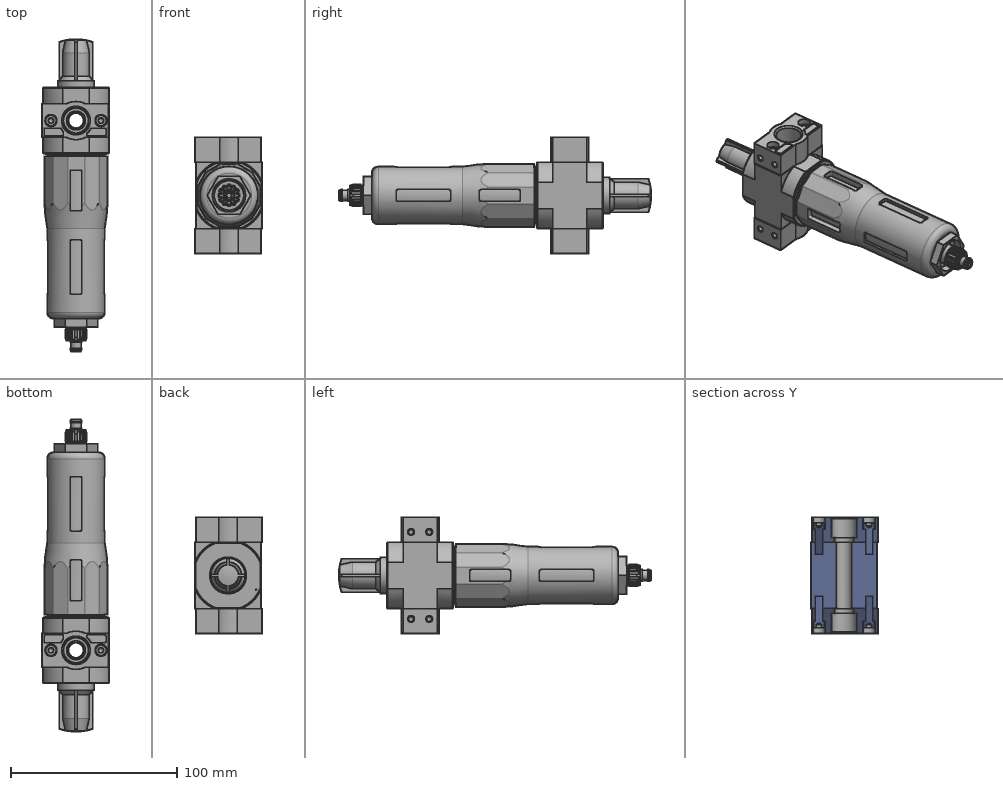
import cadquery as cq
import math

HOUSING_HALF = 20.0
HOUSING_RADIUS = 21.5
HOUSING_CHAMFER = 0.5
BAND_HALF_WIDTH = 10.2
BORE_DIAMETER = 9.0

PLATE_THICKNESS = 15.0
PLATE_X_SHIFT = -0.5
BULGE_HALF_WIDTH = 5.6
BULGE_HALF_HEIGHT = 11.5
PLATE_TOP = HOUSING_HALF + PLATE_THICKNESS
PORT_DIAMETER = 15.0
PORT_RIM_DIAMETER = 17.1
PORT_DEPTH = 12.2
PORT_STEP_DIAMETER = 11.3

LABEL_INNER_X = 7.0
LABEL_OUTER_X = 18.6
LABEL_NEAR_Y = -4.5
LABEL_FAR_Y = -9.2
LABEL_PORT_CLEARANCE = 10.2
LABEL_CORNER = 0.8
LABEL_DEPTH = 0.4

SIDE_HOLE_DIAMETER = 3.2
SIDE_HOLE_RIM = 4.0
SIDE_HOLE_DEPTH = 3.8
SIDE_HOLE_Y = 5.5
SIDE_HOLE_Z = 26.1

SCREW_X = 15.0
COUNTERBORE_DIAMETER = 7.1
COUNTERBORE_DEPTH = 7.1
HEAD_DIAMETER = 6.4
HEAD_HEIGHT = 3.8
SHANK_DIAMETER = 4.0
SHANK_LENGTH = 15.0
SOCKET_DIAMETER = 3.2
SOCKET_DEPTH = 1.9

KNOB_TOP = 49.0
COLLAR_DIAMETER = 22.0
COLLAR_RADIUS = COLLAR_DIAMETER / 2
COLLAR_TOP = 23.9
FLARE_RADIUS = 10.3
FLARE_TOP = 26.7
GRIP_RADIUS = 8.0
GRIP_TOP = 40.8
TIP_RADIUS = 6.2
FIN_RADIUS = 10.2
FIN_THICKNESS = 1.5
FIN_COUNT = 4
DOME_DROP = 1.9

NECK_RADIUS = 17.0
NECK_RIM_RADIUS = 18.6
NECK_TOP = -20.5
GUARD_TOP = -21.5
FACET_COUNT = 12
FACET_DISTANCE = 19.0
FACET_WIDTH = 9.8
GUARD_RADIUS = math.hypot(FACET_DISTANCE, FACET_WIDTH / 2)
CONE_TOP = -49.3
CONE_BOTTOM = -64.7
BOWL_DIAMETER = 34.8
BOWL_RADIUS = BOWL_DIAMETER / 2
BOWL_BOTTOM = -119.0
BOWL_FILLET = 4.0

SLOT_COUNT = 4
SLOT_WIDTH = 7.1
SLOT_CORNER = 1.1
SLOT_FLOOR_RADIUS = 15.6
SLOT_SPANS = [(-29.7, -54.3), (-71.6, -104.3)]

HEX_ACROSS_FLATS = 22.7
HEX_HEIGHT = 5.0
HEX_SIDES = 6
HEX_TURN = 180 / HEX_SIDES
HEX_BOTTOM = BOWL_BOTTOM - HEX_HEIGHT
RECESS_RIM_RADIUS = 10.0
RECESS_FLOOR_RADIUS = 8.8
RECESS_DEPTH = 3.8
SEAT_DEPTH = 2.8

DRAIN_BOTTOM = -139.0
STEM_DIAMETER = 12.2
STEM_BOTTOM = -124.6
DRAIN_NECK_DIAMETER = 11.0
CORE_RADIUS = 5.6
CORE_BEVEL = 1.0
DRAIN_SEAT = HEX_BOTTOM + RECESS_DEPTH + SEAT_DEPTH
TOOTH_TOP = -125.5
TOOTH_TAPER_START = -130.1
TOOTH_BOTTOM = -132.4
TOOTH_RADIUS = 6.5
TOOTH_TIP_RADIUS = 5.8
TOOTH_WIDTH = 1.3
TOOTH_COUNT = 12
NIPPLE_COLLAR_RADIUS = 3.5
NIPPLE_COLLAR_BOTTOM = -133.3
NIPPLE_RADIUS = 3.2
BARB_RADIUS = 3.5
BARB_TOP = -136.7
BARB_EDGE = -137.2
TIP_CHAMFER = 0.5
NIPPLE_BORE_DIAMETER = 3.0
NIPPLE_BORE_DEPTH = 5.6

DRILL_POINT_ANGLE = 118.0
Y_AXIS = ((0, 0, 0), (0, 1, 0))


def turned(points):
    """Solid of revolution about the Y axis from (radius, y) points."""
    return cq.Workplane("XY").polyline(points).close().revolve(360, (0, 0), (0, 1))


def along_y(y_start):
    """Workplane square to Y, whose extrusions grow towards -Y."""
    return cq.Workplane("XZ", origin=(0, y_start, 0))


def drill(diameter, depth):
    """Drilled hole with a pointed bottom, going down from the origin."""
    radius = diameter / 2
    point = radius / math.tan(math.radians(DRILL_POINT_ANGLE / 2))
    outline = [(0, 0), (radius, 0), (radius, -depth), (0, -depth - point)]
    return cq.Workplane("XZ").polyline(outline).close().revolve(360, (0, 0), (0, 1))


def countersink(rim_diameter, hole_diameter):
    """45-degree countersink that narrows from the rim to the hole, going down from the origin."""
    depth = (rim_diameter - hole_diameter) / 2
    down = cq.Vector(0, 0, -1)
    return cq.Workplane("XY").add(cq.Solid.makeCone(rim_diameter / 2, hole_diameter / 2, depth, dir=down))


def make_housing():
    size = 2 * HOUSING_HALF
    barrel = (
        along_y(HOUSING_HALF)
        .circle(HOUSING_RADIUS)
        .extrude(size)
        .intersect(cq.Workplane("XY").box(size, size, size))
        .faces("<Y or >Y")
        .chamfer(HOUSING_CHAMFER)
    )
    band = cq.Workplane("XY").box(size, 2 * BAND_HALF_WIDTH, size)
    bore = cq.Workplane("XY").circle(BORE_DIAMETER / 2).extrude(HOUSING_HALF, both=True)
    housing = barrel.union(band).cut(bore)
    for screw in make_screws():
        housing = housing.cut(screw)
    return housing


def label_recess(side):
    """Shallow label field on one side of the port; side is -1 or 1."""
    width = LABEL_OUTER_X - LABEL_INNER_X
    height = LABEL_NEAR_Y - LABEL_FAR_Y
    center_x = PLATE_X_SHIFT + side * (LABEL_OUTER_X + LABEL_INNER_X) / 2
    center_y = (LABEL_NEAR_Y + LABEL_FAR_Y) / 2
    floor = cq.Workplane("XY", origin=(0, 0, PLATE_TOP - LABEL_DEPTH))
    field = floor.center(center_x, center_y).rect(width, height).extrude(LABEL_DEPTH)
    field = field.edges("|Z").fillet(LABEL_CORNER)
    return field.cut(floor.circle(LABEL_PORT_CLEARANCE).extrude(LABEL_DEPTH))


def side_hole(y):
    """Blind threaded hole in the -X side of the plate, with a countersunk rim."""
    rim = countersink(SIDE_HOLE_RIM, SIDE_HOLE_DIAMETER)
    hole = drill(SIDE_HOLE_DIAMETER, SIDE_HOLE_DEPTH).union(rim)
    side_x = PLATE_X_SHIFT - HOUSING_HALF
    return hole.rotate((0, 0, 0), (0, 1, 0), -90).translate((side_x, y, SIDE_HOLE_Z))


def make_top_plate():
    left = PLATE_X_SHIFT - HOUSING_HALF
    right = PLATE_X_SHIFT + HOUSING_HALF
    plate = (
        cq.Workplane("XY", origin=(0, 0, HOUSING_HALF))
        .moveTo(left, -BAND_HALF_WIDTH)
        .lineTo(-BULGE_HALF_WIDTH, -BAND_HALF_WIDTH)
        .threePointArc((0, -BULGE_HALF_HEIGHT), (BULGE_HALF_WIDTH, -BAND_HALF_WIDTH))
        .lineTo(right, -BAND_HALF_WIDTH)
        .lineTo(right, BAND_HALF_WIDTH)
        .lineTo(BULGE_HALF_WIDTH, BAND_HALF_WIDTH)
        .threePointArc((0, BULGE_HALF_HEIGHT), (-BULGE_HALF_WIDTH, BAND_HALF_WIDTH))
        .lineTo(left, BAND_HALF_WIDTH)
        .close()
        .extrude(PLATE_THICKNESS)
    )
    top = plate.faces(">Z").workplane(origin=(0, 0, PLATE_TOP))
    plate = top.cboreHole(PORT_STEP_DIAMETER, PORT_DIAMETER, PORT_DEPTH)
    plate = plate.cut(countersink(PORT_RIM_DIAMETER, PORT_DIAMETER).translate((0, 0, PLATE_TOP)))
    plate = (
        plate.faces(">Z")
        .workplane(origin=(0, 0, PLATE_TOP))
        .pushPoints([(-SCREW_X, 0), (SCREW_X, 0)])
        .cboreHole(SHANK_DIAMETER, COUNTERBORE_DIAMETER, COUNTERBORE_DEPTH)
    )
    for side in (-1, 1):
        plate = plate.cut(label_recess(side))
        plate = plate.cut(side_hole(side * SIDE_HOLE_Y))
    return plate


def make_screw():
    """Socket-head screw along Z, with the underside of its head at the origin."""
    head = cq.Workplane("XY").circle(HEAD_DIAMETER / 2).extrude(HEAD_HEIGHT)
    shank = cq.Workplane("XY").circle(SHANK_DIAMETER / 2).extrude(-SHANK_LENGTH)
    socket = drill(SOCKET_DIAMETER, SOCKET_DEPTH).translate((0, 0, HEAD_HEIGHT))
    return head.union(shank).cut(socket)


def make_screws():
    screws = []
    for x in (-SCREW_X, SCREW_X):
        screw = make_screw().translate((x, 0, PLATE_TOP - COUNTERBORE_DEPTH))
        screws += [screw, screw.mirror("XY")]
    return screws


def make_knob():
    knob = turned(
        [
            (0, HOUSING_HALF),
            (COLLAR_RADIUS, HOUSING_HALF),
            (COLLAR_RADIUS, COLLAR_TOP),
            (FLARE_RADIUS, COLLAR_TOP),
            (GRIP_RADIUS, FLARE_TOP),
            (GRIP_RADIUS, GRIP_TOP),
            (TIP_RADIUS, KNOB_TOP),
            (0, KNOB_TOP),
        ]
    )
    fin = (
        cq.Workplane("XY")
        .box(FIN_RADIUS, KNOB_TOP - COLLAR_TOP, FIN_THICKNESS, centered=(False, False, True))
        .translate((0, COLLAR_TOP, 0))
    )
    for i in range(FIN_COUNT):
        knob = knob.union(fin.rotate(*Y_AXIS, i * 360 / FIN_COUNT))

    dome_radius = (FIN_RADIUS**2 + DOME_DROP**2) / (2 * DOME_DROP)
    dome = cq.Workplane("XY").sphere(dome_radius).translate((0, KNOB_TOP - dome_radius, 0))
    return knob.intersect(dome)


def slot(y_top, y_bottom):
    """Cutter for one slot on the +Z side, with its floor on a cylinder about Y."""
    cutter = (
        cq.Workplane("XY")
        .center(0, (y_top + y_bottom) / 2)
        .rect(SLOT_WIDTH, y_top - y_bottom)
        .extrude(GUARD_RADIUS)
        .edges("|Z")
        .fillet(SLOT_CORNER)
    )
    return cutter.cut(along_y(y_top).circle(SLOT_FLOOR_RADIUS).extrude(y_top - y_bottom))


def make_bowl(drain):
    body = turned(
        [
            (0, -HOUSING_HALF),
            (NECK_RIM_RADIUS, -HOUSING_HALF),
            (NECK_RADIUS, NECK_TOP),
            (NECK_RADIUS, GUARD_TOP),
            (GUARD_RADIUS, GUARD_TOP),
            (GUARD_RADIUS, CONE_TOP),
            (BOWL_RADIUS, CONE_BOTTOM),
            (BOWL_RADIUS, BOWL_BOTTOM),
            (0, BOWL_BOTTOM),
        ]
    )
    body = body.faces("<Y").edges().fillet(BOWL_FILLET)
    facets = (
        along_y(-HOUSING_HALF)
        .polygon(FACET_COUNT, 2 * FACET_DISTANCE, circumscribed=True)
        .extrude(-HOUSING_HALF - BOWL_BOTTOM)
    )
    bowl = body.intersect(facets)

    for y_top, y_bottom in SLOT_SPANS:
        cutter = slot(y_top, y_bottom)
        for i in range(SLOT_COUNT):
            bowl = bowl.cut(cutter.rotate(*Y_AXIS, i * 360 / SLOT_COUNT))

    hexagon = (
        along_y(BOWL_BOTTOM)
        .polygon(HEX_SIDES, HEX_ACROSS_FLATS, circumscribed=True)
        .extrude(HEX_HEIGHT)
        .rotate(*Y_AXIS, HEX_TURN)
    )
    recess = turned(
        [
            (0, HEX_BOTTOM),
            (RECESS_RIM_RADIUS, HEX_BOTTOM),
            (RECESS_FLOOR_RADIUS, HEX_BOTTOM + RECESS_DEPTH),
            (0, HEX_BOTTOM + RECESS_DEPTH),
        ]
    )
    return bowl.union(hexagon).cut(recess).cut(drain)


def make_drain():
    drain = turned(
        [
            (0, DRAIN_SEAT),
            (STEM_DIAMETER / 2, DRAIN_SEAT),
            (STEM_DIAMETER / 2, STEM_BOTTOM),
            (DRAIN_NECK_DIAMETER / 2, STEM_BOTTOM),
            (DRAIN_NECK_DIAMETER / 2, TOOTH_TOP),
            (CORE_RADIUS, TOOTH_TOP),
            (CORE_RADIUS, TOOTH_BOTTOM + CORE_BEVEL),
            (CORE_RADIUS - CORE_BEVEL, TOOTH_BOTTOM),
            (NIPPLE_COLLAR_RADIUS, TOOTH_BOTTOM),
            (NIPPLE_COLLAR_RADIUS, NIPPLE_COLLAR_BOTTOM),
            (NIPPLE_RADIUS, NIPPLE_COLLAR_BOTTOM),
            (NIPPLE_RADIUS, BARB_TOP),
            (BARB_RADIUS, BARB_TOP),
            (BARB_RADIUS, BARB_EDGE),
            (NIPPLE_RADIUS, DRAIN_BOTTOM + TIP_CHAMFER),
            (NIPPLE_RADIUS - TIP_CHAMFER, DRAIN_BOTTOM),
            (0, DRAIN_BOTTOM),
        ]
    )
    tooth = (
        cq.Workplane("XY")
        .polyline(
            [
                (0, TOOTH_TOP),
                (TOOTH_RADIUS, TOOTH_TOP),
                (TOOTH_RADIUS, TOOTH_TAPER_START),
                (TOOTH_TIP_RADIUS, TOOTH_BOTTOM),
                (0, TOOTH_BOTTOM),
            ]
        )
        .close()
        .extrude(TOOTH_WIDTH / 2, both=True)
    )
    for i in range(TOOTH_COUNT):
        drain = drain.union(tooth.rotate(*Y_AXIS, i * 360 / TOOTH_COUNT))
    bore = (
        along_y(DRAIN_BOTTOM + NIPPLE_BORE_DEPTH)
        .circle(NIPPLE_BORE_DIAMETER / 2)
        .extrude(NIPPLE_BORE_DEPTH)
    )
    return drain.cut(bore)


housing = make_housing()
top_plate = make_top_plate()
bottom_plate = top_plate.mirror("XY")
screws = make_screws()
knob = make_knob()
drain = make_drain()
bowl = make_bowl(drain)

result = cq.Compound.makeCompound(
    [
        housing.val(),
        top_plate.val(),
        bottom_plate.val(),
        *[screw.val() for screw in screws],
        knob.val(),
        bowl.val(),
        drain.val(),
    ]
)